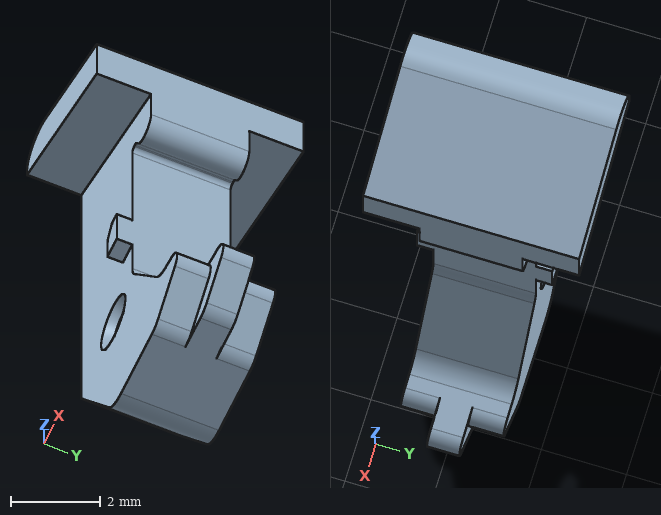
import cadquery as cq
import math

height = 12.7
cap_width = 5.08
body_width = 2.41
tongue_width = 0.76

cap_depth = 3.87
cap_slope = math.radians(20)
cap_radius = 0.76
cap_thickness = 1.27

arm_depth = 2.83
notch_top = 9.49
notch_radius = 0.11
tooth_radius = 0.38
tooth_bottom = 9.09
tooth_slope = math.radians(60)

heel_height = 3.06
heel_slope = math.radians(60)
bend_height = 4.2
hook_root_x = 4.35
hook_root_z = 1.78
hook_reach = 6.02
hook_top_slope = math.radians(10)
hook_under_slope = math.radians(43)
hook_tip_radius = 0.38
hook_foot_radius = 0.51
leg_radius = 0.76
tongue_overhang = 0.7

hole_x = 1.78
hole_z = 3.7
hole_diameter = 1.07
countersink_diameter = 1.35
countersink_angle = math.radians(60)

lug_span = 3.18
lug_back = 2.31
lug_bottom = 5.45
lug_height = 1.05
lug_bevel_x = 0.25
lug_bevel_z = 0.38


def rounded_outline(corners):
    """Closed XZ wire from (x, z, radius) corners, with tangent arcs at the nonzero radii."""
    outline = cq.Workplane("XZ")
    for i, (x, z, radius) in enumerate(corners):
        corner = cq.Vector(x, z)
        before = (cq.Vector(*corners[i - 1][:2]) - corner).normalized()
        after = (cq.Vector(*corners[(i + 1) % len(corners)][:2]) - corner).normalized()
        half_angle = before.getAngle(after) / 2
        setback = radius / math.tan(half_angle)
        start = corner + before * setback
        outline = outline.lineTo(start.x, start.y) if i else outline.moveTo(start.x, start.y)
        if radius:
            bisector = (before + after).normalized()
            middle = corner + bisector * (radius / math.sin(half_angle) - radius)
            end = corner + after * setback
            outline = outline.threePointArc((middle.x, middle.y), (end.x, end.y))
    return outline.close()


def extrude_centered(outline, width):
    return outline.extrude(width / 2, both=True)


cap_rise = cap_depth * math.tan(cap_slope)
cap_back_top = height - cap_radius + cap_radius * (1 / math.cos(cap_slope) + math.tan(cap_slope))
cap_front_top = cap_back_top - cap_rise
cap_back_bottom = cap_back_top - cap_thickness
cap_front_bottom = cap_front_top - cap_thickness


def make_cap():
    outline = rounded_outline([
        (0, cap_back_bottom, 0),
        (0, cap_back_top, cap_radius),
        (cap_depth, cap_front_top, 0),
        (cap_depth, cap_front_bottom, 0),
    ])
    return extrude_centered(outline, cap_width)


def make_body(reach, width):
    """Arm, tooth and leg, with a hook whose rounded tip reaches the given X."""
    tip_x = cap_depth - tooth_radius
    tip_z = tooth_bottom + tooth_radius
    flank_x = tip_x - tooth_radius * math.sin(tooth_slope)
    flank_z = tip_z - tooth_radius * math.cos(tooth_slope)
    tooth_apex_z = flank_z - (cap_depth - flank_x) * math.tan(tooth_slope)
    notch_end_x = flank_x - (notch_top - flank_z) / math.tan(tooth_slope)

    top_fall = math.tan(hook_top_slope)
    under_fall = math.tan(hook_under_slope)
    hook_x = reach - hook_tip_radius
    hook_z = hook_root_z - (hook_x - hook_root_x) * top_fall - hook_tip_radius / math.cos(hook_top_slope)
    foot_x = hook_x - (hook_z - hook_tip_radius / math.cos(hook_under_slope)) / under_fall
    apex_x = (hook_root_z + hook_root_x * top_fall + foot_x * under_fall) / (top_fall + under_fall)
    apex_z = (apex_x - foot_x) * under_fall

    outline = rounded_outline([
        (0, heel_height, 0),
        (0, cap_back_bottom, 0),
        (cap_depth, cap_front_bottom, 0),
        (cap_depth, tooth_apex_z, tooth_radius),
        (notch_end_x, notch_top, notch_radius),
        (arm_depth, notch_top, notch_radius),
        (arm_depth, bend_height, leg_radius),
        (hook_root_x, hook_root_z, leg_radius),
        (apex_x, apex_z, hook_tip_radius),
        (foot_x, 0, hook_foot_radius),
        (heel_height / math.tan(heel_slope), 0, leg_radius),
    ])
    return extrude_centered(outline, width)


def make_lugs():
    """Bevelled bar through the arm whose ends stand out on both sides."""
    top = lug_bottom + lug_height
    outline = cq.Workplane("XZ").polyline([
        (lug_back, lug_bottom),
        (lug_back, top - lug_bevel_z),
        (lug_back + lug_bevel_x, top),
        (arm_depth, top),
        (arm_depth, lug_bottom),
    ]).close()
    return extrude_centered(outline, lug_span)


def make_pivot_hole():
    """Through hole with a conical countersink on each side."""
    half_width = body_width / 2
    hole_radius = hole_diameter / 2
    sink_radius = countersink_diameter / 2
    sink_depth = (sink_radius - hole_radius) / math.tan(countersink_angle / 2)
    half_section = cq.Workplane("XY").polyline([
        (0, -half_width),
        (sink_radius, -half_width),
        (hole_radius, sink_depth - half_width),
        (hole_radius, half_width - sink_depth),
        (sink_radius, half_width),
        (0, half_width),
    ]).close()
    return half_section.revolve(360, (0, 0, 0), (0, 1, 0)).translate((hole_x, 0, hole_z))


result = (
    make_body(hook_reach - tongue_overhang, body_width)
    .union(make_body(hook_reach, tongue_width))
    .union(make_cap())
    .union(make_lugs())
    .cut(make_pivot_hole())
)